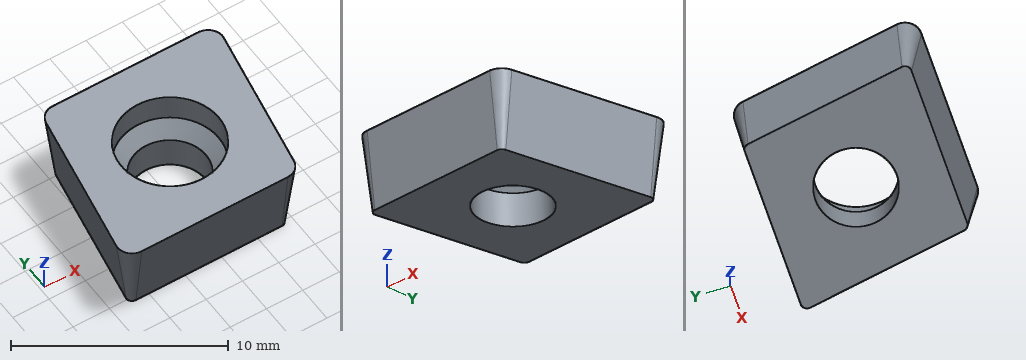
import cadquery as cq
import math

length = 11.04
thickness = 3.97
acute_angle = 80.0
corner_radius = 0.8
clearance_angle = 7.0

head_diameter = 5.34
head_depth = 1.45
screw_diameter = 3.94
seat_height = 0.78

half_angle = math.radians(acute_angle / 2)
half_width = corner_radius + (length / 2 - corner_radius) * math.tan(half_angle)
acute_x = half_width / math.tan(half_angle)
obtuse_x = half_width * math.tan(half_angle)


def tapered_body():
    """Rounded rhombus extruded down from the top, with conical corners."""
    corners = [
        (-acute_x, -half_width),
        (obtuse_x, -half_width),
        (acute_x, half_width),
        (-obtuse_x, half_width),
    ]
    outline = cq.Sketch().polygon(corners + corners[:1]).vertices().fillet(corner_radius)
    return (
        cq.Workplane("XY")
        .workplane(offset=thickness)
        .placeSketch(outline)
        .extrude(-thickness, taper=clearance_angle)
    )


def screw_hole():
    """Wide head bore, conical seat and narrow through bore as one revolved cutter."""
    head_radius = head_diameter / 2
    screw_radius = screw_diameter / 2
    seat_top = thickness - head_depth
    profile = [
        (0, 0),
        (screw_radius, 0),
        (screw_radius, seat_top - seat_height),
        (head_radius, seat_top),
        (head_radius, thickness),
        (0, thickness),
    ]
    return cq.Workplane("XZ").polyline(profile).close().revolve(360, (0, 0, 0), (0, 1, 0))


result = tapered_body().cut(screw_hole())